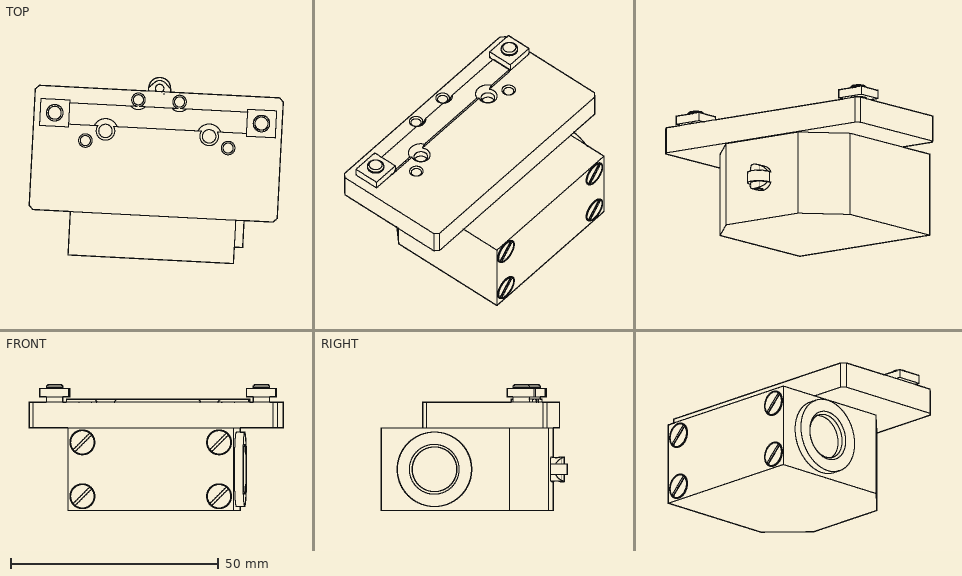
import cadquery as cq
import math

overall_length = 61.4
turn_angle = -3.0
turn = math.radians(abs(turn_angle))

plate_width = 30.1
plate_thickness = 6.2
plate_corner = 1.0
plate_length = (overall_length - (plate_width - 2 * plate_corner) * math.sin(turn)) / math.cos(turn)

block_side = 40.0
block_height = 20.0
block_corner = 8.95
block_front = -25.55
block_back = block_front + block_side
block_mid_height = block_height / 2
plate_top = block_height + plate_thickness

strip_length = 44.1
strip_width = 5.15
strip_height = 0.75
strip_y = 8.6
strip_top = plate_top + strip_height

clamp_length = 7.0
clamp_width = 6.5
clamp_height = 2.0
clamp_gap = 1.3
stud_x = 25.0
stud_diameter = 4.0
stud_chamfer = 0.4
stud_undercut = 0.2
stud_head = 1.0

mount_hole_diameter = 3.25
mount_sink_diameter = 4.5
mount_hole_depth = 2.2
mount_hole_spot = (12.5, 4.85)
thread_diameter = 2.45
thread_sink_diameter = 3.25
thread_spots = [(5.0, 12.75), (17.25, 2.3)]

screw_x = 16.5
screw_z = 6.5
screw_diameter = 6.0
screw_bevel = 0.2
screw_slot_width = 0.7
screw_slot_depth = 0.5
screw_slot_angle = 45.0

bushing_diameter = 18.0
bushing_height = 2.0
bushing_y = -12.6
bore_diameter = 10.8
bore_chamfer = 0.6

plunger_diameter = 6.0
plunger_width = 5.45
plunger_reach = 6.0
roller_diameter = 5.35
roller_thickness = 2.6
roller_y = 15.8
tip_radius = 1.9
pin_diameter = 2.0
pin_length = 5.65


def cylinder_z(x, y, z, diameter, height):
    return cq.Workplane("XY", origin=(x, y, z)).circle(diameter / 2).extrude(height)


def make_block():
    block = cq.Workplane("XY").box(block_side, block_side, block_height, centered=(True, False, False))
    block = block.translate((0, block_front, 0))
    return block.edges("|Z and >Y").chamfer(block_corner)


def make_plate():
    plate = cq.Workplane("XY", origin=(0, 0, block_height))
    plate = plate.box(plate_length, plate_width, plate_thickness, centered=(True, True, False))
    plate = plate.edges("|Z").chamfer(plate_corner)
    strip = cq.Workplane("XY", origin=(0, strip_y, plate_top))
    strip = strip.box(strip_length, strip_width, strip_height, centered=(True, True, False))
    return plate.union(strip)


def countersunk_hole(x, y, diameter, sink_diameter, depth):
    """Hole with a 90 degree sink, sized at the plate top and widening on up to the strip top."""
    radius = diameter / 2
    sink_radius = sink_diameter / 2
    floor = plate_top - depth
    sink_bottom = plate_top - (sink_radius - radius)
    profile = (
        cq.Workplane("XZ")
        .moveTo(0, floor)
        .lineTo(radius, floor)
        .lineTo(radius, sink_bottom)
        .lineTo(sink_radius + strip_height, strip_top)
        .lineTo(0, strip_top)
        .close()
    )
    return profile.revolve(360, (0, 0, 0), (0, 1, 0)).translate((x, y, 0))


def make_clamp(x):
    clamp = cq.Workplane("XY", origin=(x, strip_y, plate_top + clamp_gap))
    clamp = clamp.box(clamp_length, clamp_width, clamp_height, centered=(True, True, False))
    stud = cylinder_z(x, strip_y, plate_top, stud_diameter, clamp_gap + clamp_height)
    head = cylinder_z(x, strip_y, plate_top + clamp_gap + clamp_height, stud_diameter, stud_head)
    head = head.faces(">Z").chamfer(stud_chamfer).faces("<Z").chamfer(stud_undercut)
    return clamp.union(stud).union(head)


def screw_recess(x, z):
    """Bevelled ring around a flush screw head, plus its slanted driver slot."""
    radius = screw_diameter / 2
    bevel_radius = radius - screw_bevel
    face = cq.Workplane("XZ", origin=(x, block_front, z))
    ring = face.circle(radius).extrude(-screw_bevel)
    head = face.circle(bevel_radius).workplane(offset=-screw_bevel).circle(radius).loft()
    slot = face.transformed(rotate=(0, 0, screw_slot_angle))
    slot = slot.rect(screw_diameter, screw_slot_width).extrude(-screw_slot_depth)
    slot = slot.intersect(face.circle(bevel_radius).extrude(-screw_slot_depth))
    return ring.cut(head).union(slot)


def make_bushing():
    face = cq.Workplane("YZ", origin=(block_side / 2, bushing_y, block_mid_height))
    bushing = face.circle(bushing_diameter / 2).circle(bore_diameter / 2).extrude(bushing_height)
    bore_rim = cq.selectors.RadiusNthSelector(0)
    return bushing.faces(">X").edges(bore_rim).chamfer(bore_chamfer)


def make_plunger():
    tangent = tip_radius * math.sin(math.radians(45))
    plunger = cq.Workplane("XZ", origin=(0, block_back, block_mid_height))
    plunger = plunger.circle(plunger_diameter / 2).extrude(-plunger_reach)
    half_width = plunger_width / 2
    flat_start = roller_y + tangent - (half_width - tangent)
    tip_outline = (
        cq.Workplane("XY")
        .moveTo(-half_width, block_back)
        .lineTo(-half_width, flat_start)
        .lineTo(-tangent, roller_y + tangent)
        .threePointArc((0, roller_y + tip_radius), (tangent, roller_y + tangent))
        .lineTo(half_width, flat_start)
        .lineTo(half_width, block_back)
        .close()
        .extrude(block_height)
    )
    pin_bottom = block_mid_height - pin_length / 2
    roller_bottom = block_mid_height - roller_thickness / 2
    plunger = plunger.intersect(tip_outline)
    slot = cq.Workplane("XY", origin=(0, block_back + plunger_reach / 2, block_mid_height))
    plunger = plunger.cut(slot.box(plunger_diameter, plunger_reach, roller_thickness))
    plunger = plunger.cut(cylinder_z(0, roller_y, 0, pin_diameter, block_height))
    plunger = plunger.union(cylinder_z(0, roller_y, pin_bottom, pin_diameter, pin_length))
    return plunger.union(cylinder_z(0, roller_y, roller_bottom, roller_diameter, roller_thickness))


plate = make_plate()
for side in (-1, 1):
    x, y = mount_hole_spot
    hole = countersunk_hole(side * x, y, mount_hole_diameter, mount_sink_diameter, mount_hole_depth)
    plate = plate.cut(hole)
    for x, y in thread_spots:
        hole = countersunk_hole(side * x, y, thread_diameter, thread_sink_diameter, plate_thickness)
        plate = plate.cut(hole)

block = make_block()
for side in (-1, 1):
    for level in (-1, 1):
        block = block.cut(screw_recess(side * screw_x, block_mid_height + level * screw_z))

part = block.union(plate).union(make_bushing()).union(make_plunger())
for side in (-1, 1):
    part = part.union(make_clamp(side * stud_x))

result = part.rotate((0, 0, 0), (0, 0, 1), turn_angle)